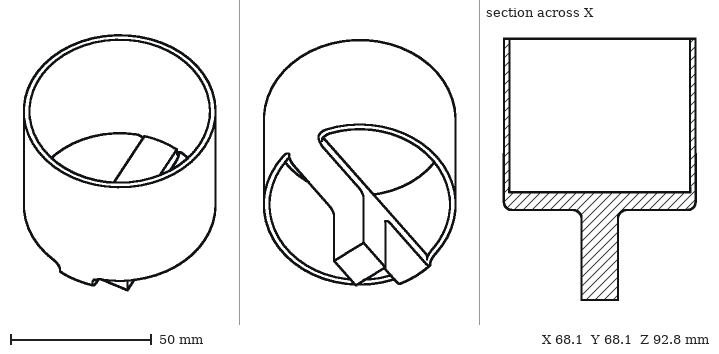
import cadquery as cq

outer_diameter = 68.1
wall = 2.0
total_height = 92.8
sleeve_height = 54.5
bar_thickness = 6.4
stem_width = 13.0
fillet_radius = 3.0

outer_radius = outer_diameter / 2
inner_radius = outer_radius - wall
half_width = stem_width / 2
stem_length = total_height - sleeve_height - bar_thickness


def ring(bottom, height):
    """Tube with the sleeve's wall section."""
    return (
        cq.Workplane("XY")
        .workplane(offset=bottom)
        .circle(outer_radius)
        .circle(inner_radius)
        .extrude(height)
    )


def make_crossbar():
    """Bar across the sleeve, cut from a disc with a rounded lower edge."""
    disc = (
        cq.Workplane("XY")
        .circle(outer_radius)
        .extrude(-bar_thickness)
        .faces("<Z")
        .edges()
        .fillet(fillet_radius)
    )
    strip = cq.Workplane("XY").box(
        stem_width, outer_diameter, bar_thickness, centered=(True, True, False)
    )
    return disc.intersect(strip.translate((0, 0, -bar_thickness)))


def make_wall_flares():
    """Concave fillets, in the wall only, blending the bar ends into the sleeve."""
    flare_width = stem_width + 2 * fillet_radius
    flare = cq.Workplane("XY").box(
        flare_width, outer_diameter, fillet_radius, centered=(True, True, False)
    )
    flare = flare.translate((0, 0, -fillet_radius))
    for side in (-1, 1):
        rounding = (
            cq.Workplane("XZ")
            .center(side * (half_width + fillet_radius), -fillet_radius)
            .circle(fillet_radius)
            .extrude(outer_radius, both=True)
        )
        flare = flare.cut(rounding)
    return flare.intersect(ring(-fillet_radius, fillet_radius))


def make_stem():
    """Square stem whose front and back faces curve into the crossbar."""
    stem_top = -bar_thickness
    stem_bottom = stem_top - stem_length
    fillet_start = stem_top - fillet_radius
    flare_half = half_width + fillet_radius
    return (
        cq.Workplane("YZ")
        .moveTo(-half_width, stem_bottom)
        .lineTo(half_width, stem_bottom)
        .lineTo(half_width, fillet_start)
        .radiusArc((flare_half, stem_top), fillet_radius)
        .lineTo(-flare_half, stem_top)
        .radiusArc((-half_width, fillet_start), fillet_radius)
        .close()
        .extrude(half_width, both=True)
    )


result = (
    ring(0, sleeve_height)
    .union(make_crossbar())
    .union(make_wall_flares())
    .union(make_stem())
)